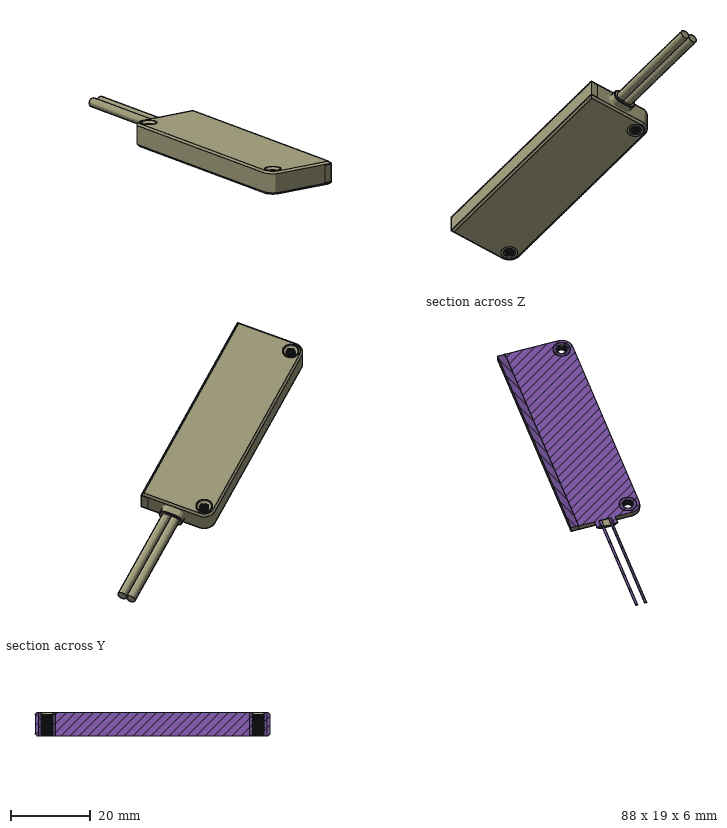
import cadquery as cq

overall_length = 88.0
housing_length = 59.05
housing_width = 19.0
housing_height = 6.0
corner_radius = 3.0
edge_chamfer = 0.5

cable_diameter = 2.4
cable_axis_from_back = 9.0

boss_length = 2.0
boss_height = 4.0
boss_front_chamfer = 0.2
boss_root_fillet = 0.2

bushing_diameter = 4.2
countersink_diameter = 3.7
thread_root_diameter = 3.0
thread_crest_diameter = 2.3
thread_count = 13

strip_depth = 1.9
strip_height = 4.6

housing_left = overall_length - housing_length
boss_left = housing_left - boss_length
front_side = -housing_width / 2
back_side = housing_width / 2
housing_bottom = -housing_height / 2
cable_pair_y = back_side - cable_axis_from_back
cable_positions = [cable_pair_y - cable_diameter / 2, cable_pair_y + cable_diameter / 2]
bushing_y = front_side + corner_radius
bushing_positions = [
    (housing_left + corner_radius, bushing_y),
    (overall_length - corner_radius, bushing_y),
]


def stadium(x_start, length, height):
    """Rounded bar along +X whose two end arcs are centred on the cable axes."""
    return (
        cq.Workplane("YZ", origin=(x_start, cable_pair_y, 0))
        .slot2D(cable_diameter + height, height)
        .extrude(length)
    )


def make_strip():
    """Flat strip flush with the housing back side and both housing ends."""
    return cq.Workplane("XY").box(housing_length, strip_depth, strip_height).translate(
        (housing_left + housing_length / 2, back_side - strip_depth / 2, 0)
    )


def make_housing():
    """Flat case with two rounded front corners, a cable boss and seats for the other bodies."""
    body = (
        cq.Workplane("XY", origin=(housing_left, front_side, housing_bottom))
        .box(housing_length, housing_width, housing_height, centered=False)
        .edges("|Z and <Y")
        .fillet(corner_radius)
        .faces("<Z or >Z")
        .chamfer(edge_chamfer)
    )
    boss = stadium(boss_left, boss_length, boss_height).faces("<X").chamfer(boss_front_chamfer)
    body = body.union(boss)

    boss_reach = boss_height / 2 + cable_diameter
    root_zone = cq.selectors.BoxSelector(
        (housing_left - boss_root_fillet, cable_pair_y - boss_reach, -boss_height),
        (housing_left + boss_root_fillet, cable_pair_y + boss_reach, boss_height),
        boundingbox=True,
    )
    body = body.edges(root_zone).fillet(boss_root_fillet)

    cable_opening = stadium(boss_left, boss_length, cable_diameter)
    bushing_seats = (
        cq.Workplane("XY", origin=(0, 0, housing_bottom))
        .pushPoints(bushing_positions)
        .circle(bushing_diameter / 2)
        .extrude(housing_height)
    )
    return body.cut(cable_opening).cut(bushing_seats).cut(make_strip())


def make_cable(y):
    """Round cable reaching from its free end to the floor of the boss opening."""
    return cq.Workplane("YZ", origin=(0, y, 0)).circle(cable_diameter / 2).extrude(housing_left)


def make_bushing(x, y):
    """Flush sleeve with a 45 degree countersink and V-shaped thread rings along its bore."""
    outer_radius = bushing_diameter / 2
    countersink_radius = countersink_diameter / 2
    thread_root_radius = thread_root_diameter / 2
    thread_crest_radius = thread_crest_diameter / 2
    thread_top = housing_height - (countersink_radius - thread_root_radius)
    thread_pitch = thread_top / thread_count

    half_profile = (
        cq.Workplane("XZ")
        .moveTo(outer_radius, 0)
        .lineTo(outer_radius, housing_height)
        .lineTo(countersink_radius, housing_height)
        .lineTo(thread_root_radius, thread_top)
    )
    for ring in range(thread_count):
        ring_top = thread_top - ring * thread_pitch
        half_profile = (
            half_profile
            .lineTo(thread_crest_radius, ring_top - thread_pitch / 2)
            .lineTo(thread_root_radius, ring_top - thread_pitch)
        )
    sleeve = half_profile.close().revolve(360, (0, 0), (0, 1))
    return sleeve.translate((x, y, housing_bottom))


housing = make_housing()
strip = make_strip()
cables = [make_cable(y) for y in cable_positions]
bushings = [make_bushing(x, y) for x, y in bushing_positions]

result = cq.Compound.makeCompound([
    housing.val(),
    strip.val(),
    *[cable.val() for cable in cables],
    *[bushing.val() for bushing in bushings],
])